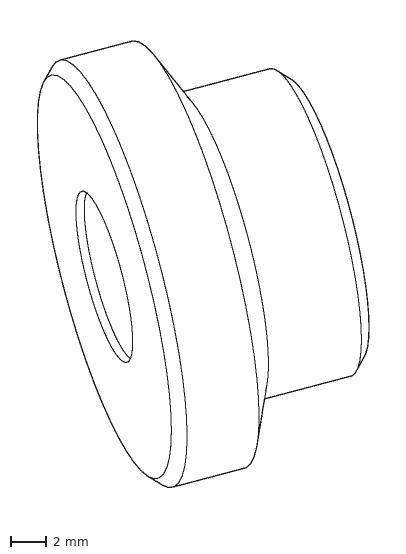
import cadquery as cq

flange_diameter = 25.0
boss_diameter = 18.0
total_length = 13.0
flange_length = 5.0
cone_length = 1.75
chamfer = 0.7
recess_diameter = 10.0
recess_depth = 0.5

flange_radius = flange_diameter / 2
boss_radius = boss_diameter / 2
cone_end = flange_length + cone_length

half_section = (
    cq.Workplane("XY")
    .moveTo(0, 0)
    .lineTo(flange_radius - chamfer, 0)
    .lineTo(flange_radius, chamfer)
    .lineTo(flange_radius, flange_length)
    .lineTo(boss_radius, cone_end)
    .lineTo(boss_radius, total_length - chamfer)
    .lineTo(boss_radius - chamfer, total_length)
    .lineTo(0, total_length)
    .close()
)
body = half_section.revolve(360, (0, 0, 0), (0, 1, 0))

recess = cq.Workplane("XZ").circle(recess_diameter / 2).extrude(-recess_depth)

result = body.cut(recess)